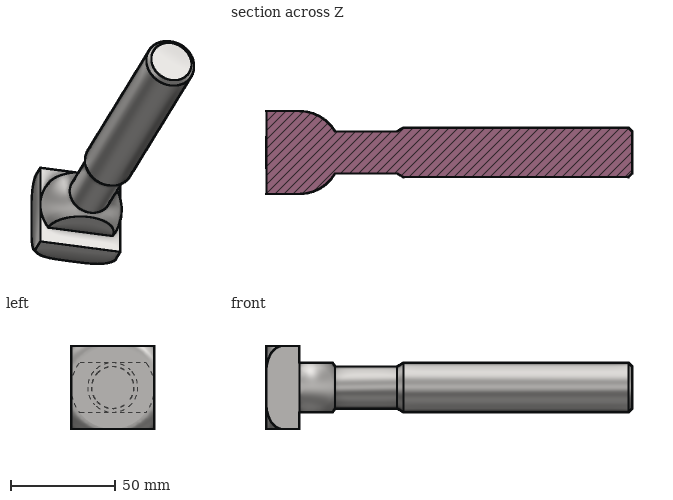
import cadquery as cq
import math

total_length = 176.0
head_width = 40.0
head_thickness = 16.0
shank_diameter = 24.0
neck_diameter = 20.5
shank_length = 110.0
taper_length = 3.0
end_chamfer_length = 2.0
end_chamfer_depth = 2.0

head_radius = head_width / 2
corner_round_radius = head_radius * math.sqrt(2) - head_radius
shank_radius = shank_diameter / 2
neck_radius = neck_diameter / 2
shank_start = total_length - shank_length


def make_head():
    """Square head whose front corners are rounded by a turned profile."""
    block = cq.Workplane("YZ").rect(head_width, head_width).extrude(head_thickness)
    outer_radius = head_radius + corner_round_radius
    arc_middle = (
        corner_round_radius * (1 - math.sqrt(0.5)),
        head_radius + corner_round_radius * math.sqrt(0.5),
    )
    envelope = (
        cq.Workplane("XY")
        .lineTo(0, head_radius)
        .threePointArc(arc_middle, (corner_round_radius, outer_radius))
        .lineTo(head_thickness, outer_radius)
        .lineTo(head_thickness, 0)
        .close()
        .revolve(360, (0, 0, 0), (1, 0, 0))
    )
    return block.intersect(envelope)


def make_collar():
    """Half ball behind the head, cut flat on top and bottom."""
    ball = cq.Workplane("XY").sphere(head_radius).translate((head_thickness, 0, 0))
    slab = (
        cq.Workplane("XY")
        .box(head_radius, head_width, shank_diameter, centered=(False, True, True))
        .translate((head_thickness, 0, 0))
    )
    return ball.intersect(slab)


def make_shank():
    """Turned neck, taper and shank with a chamfered free end."""
    return (
        cq.Workplane("XY")
        .moveTo(head_thickness, 0)
        .lineTo(head_thickness, neck_radius)
        .lineTo(shank_start - taper_length, neck_radius)
        .lineTo(shank_start, shank_radius)
        .lineTo(total_length - end_chamfer_length, shank_radius)
        .lineTo(total_length, shank_radius - end_chamfer_depth)
        .lineTo(total_length, 0)
        .close()
        .revolve(360, (0, 0, 0), (1, 0, 0))
    )


result = make_head().union(make_collar()).union(make_shank())